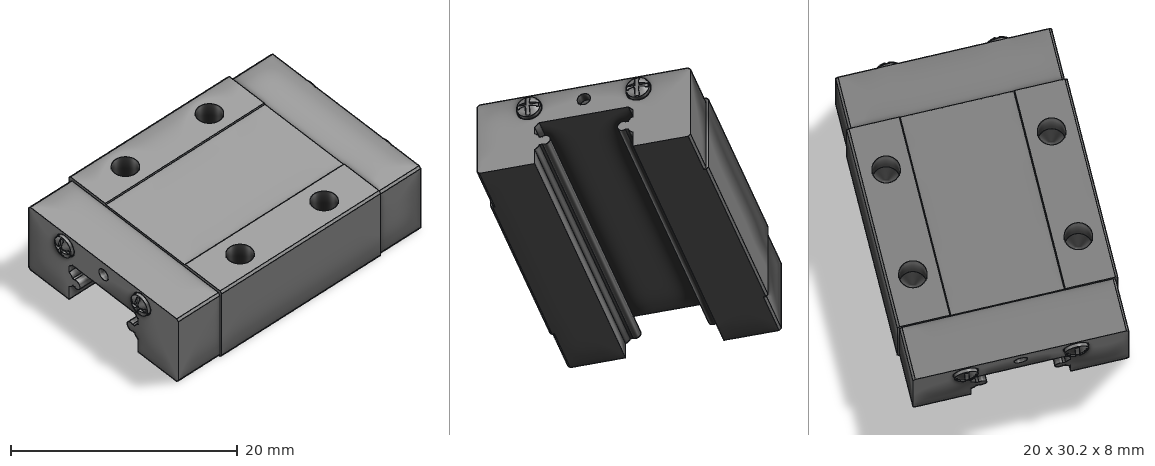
import cadquery as cq
import math

total_length = 30.25
block_width = 20.0
block_height = 8.0
block_length = 18.95

cap_width = 19.57
cap_height = 7.65
caps_length = 28.9
edge_chamfer = 0.2

relief_depth = 0.1
relief_floor_width = 10.3

slot_width = 9.0
slot_height = 4.48
slot_chamfer = 0.42
race_height = 2.45
bead_radius = 0.48
bead_center_x = 3.57
neck_half_height = 0.42
shoulder_radius = 1.0
shoulder_center_x = 4.95

mount_diameter = 2.5
mount_spacing_x = 15.0
mount_spacing_y = 10.0
mount_depth = 3.02
drill_tip_angle = 118.0

port_diameter = 1.2
port_depth = 0.95
port_height = 6.23

screw_spacing = 10.0
seat_diameter = 2.3
seat_depth = 0.15
head_diameter = 2.15
head_rim_height = 0.3
drive_slot_width = 0.4
drive_slot_depth = 0.3


def bar(width, height, length):
    """Bar centred along Y, standing on the base, with its four long edges chamfered."""
    body = cq.Workplane("XY").box(width, length, height, centered=(True, True, False))
    return body.edges("|Y").chamfer(edge_chamfer)


def top_relief():
    """Shallow trapezoidal channel over the middle of the block."""
    floor_x = relief_floor_width / 2
    rim_x = floor_x + relief_depth
    floor_z = block_height - relief_depth
    profile = [(-rim_x, block_height), (-floor_x, floor_z), (floor_x, floor_z), (rim_x, block_height)]
    channel = cq.Workplane("XZ").polyline(profile).close()
    return channel.extrude(block_length / 2, both=True)


def rail_slot():
    """Rail slot with a round-tipped bead projecting from each wall."""
    wall_x = slot_width / 2
    roof_x = wall_x - slot_chamfer
    shoulder_half_height = math.sqrt(shoulder_radius**2 - (shoulder_center_x - wall_x) ** 2)
    neck_x = shoulder_center_x - math.sqrt(shoulder_radius**2 - neck_half_height**2)
    bulge_x = shoulder_center_x - shoulder_radius * math.cos(math.pi / 4)
    bulge_rise = shoulder_radius * math.sin(math.pi / 4)
    bead_start_x = bead_center_x + math.sqrt(bead_radius**2 - neck_half_height**2)
    bead_tip_x = bead_center_x - bead_radius
    z = race_height

    profile = (
        cq.Workplane("XZ")
        .moveTo(wall_x, 0)
        .lineTo(wall_x, z - shoulder_half_height)
        .threePointArc((bulge_x, z - bulge_rise), (neck_x, z - neck_half_height))
        .lineTo(bead_start_x, z - neck_half_height)
        .threePointArc((bead_tip_x, z), (bead_start_x, z + neck_half_height))
        .lineTo(neck_x, z + neck_half_height)
        .threePointArc((bulge_x, z + bulge_rise), (wall_x, z + shoulder_half_height))
        .lineTo(wall_x, slot_height - slot_chamfer)
        .lineTo(roof_x, slot_height)
        .lineTo(0, slot_height)
        .lineTo(0, 0)
        .close()
    )
    half_slot = profile.extrude(caps_length / 2, both=True)
    return half_slot.union(half_slot.mirror("YZ"))


def mounting_hole(x, y):
    """Blind drilled hole with a conical tip, cut down from the block top."""
    radius = mount_diameter / 2
    tip_length = radius / math.tan(math.radians(drill_tip_angle / 2))
    profile = [(0, 0), (radius, 0), (radius, -mount_depth), (0, -mount_depth - tip_length)]
    hole = cq.Workplane("XZ").polyline(profile).close().revolve(360, (0, 0), (0, 1))
    return hole.translate((x, y, block_height))


def front_cylinder(diameter, depth, x):
    """Cylinder at screw height, running inward from the front end face."""
    face = cq.Workplane("XZ", origin=(x, -caps_length / 2, port_height))
    return face.circle(diameter / 2).extrude(-depth)


def screw_head(x):
    """Domed head on the front end face with a cross drive slot."""
    head_radius = head_diameter / 2
    protrusion = (total_length - caps_length) / 2
    corner_radius = drive_slot_width / math.sqrt(2)
    dome_height = protrusion - head_rim_height
    center_height = (dome_height**2 + corner_radius**2 - head_radius**2) / (2 * dome_height)
    dome_radius = math.hypot(head_radius, center_height)
    crown = head_rim_height + center_height + dome_radius
    mid_angle = (math.atan2(-center_height, head_radius) + math.pi / 2) / 2
    mid_point = (
        dome_radius * math.cos(mid_angle),
        head_rim_height + center_height + dome_radius * math.sin(mid_angle),
    )
    head = (
        cq.Workplane("XY")
        .moveTo(0, -seat_depth)
        .lineTo(head_radius, -seat_depth)
        .lineTo(head_radius, head_rim_height)
        .threePointArc(mid_point, (0, crown))
        .close()
        .revolve(360, (0, 0), (0, 1))
    )
    slot_floor = protrusion - drive_slot_depth
    for size in ((head_diameter, drive_slot_width), (drive_slot_width, head_diameter)):
        arm = cq.Workplane("XZ", origin=(0, slot_floor, 0)).rect(*size).extrude(-total_length)
        head = head.cut(arm)
    return head.rotate((0, 0, 0), (0, 0, 1), 180).translate((x, -caps_length / 2, port_height))


def both_ends(shape):
    """The given front-end shape together with its copy on the back end."""
    return shape.union(shape.mirror("XZ"))


result = bar(block_width, block_height, block_length).union(bar(cap_width, cap_height, caps_length))
result = result.cut(top_relief()).cut(rail_slot())

for x in (-mount_spacing_x / 2, mount_spacing_x / 2):
    for y in (-mount_spacing_y / 2, mount_spacing_y / 2):
        result = result.cut(mounting_hole(x, y))

result = result.cut(both_ends(front_cylinder(port_diameter, port_depth, 0)))

for x in (-screw_spacing / 2, screw_spacing / 2):
    result = result.cut(both_ends(front_cylinder(seat_diameter, seat_depth, x)))
    result = result.union(both_ends(screw_head(x)))